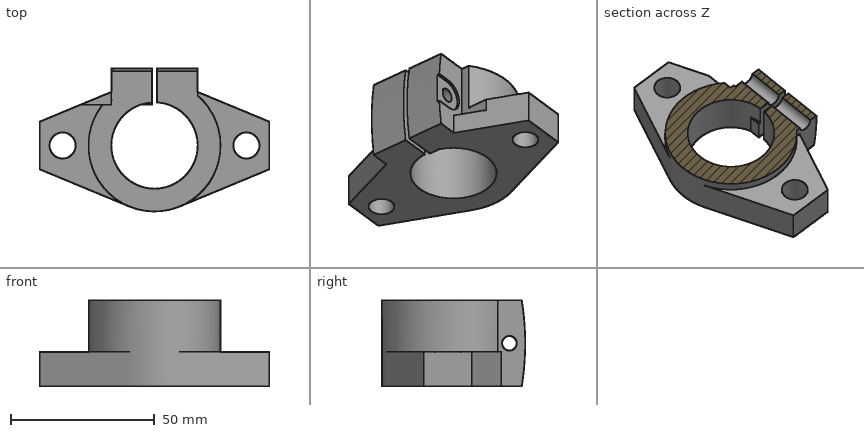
import cadquery as cq
import math

height = 30.0
bore_radius = 15.0
ring_radius = 23.0

flange_length = 80.0
flange_thickness = 12.0
flange_end_width = 16.65
mount_hole_diameter = 9.0
mount_hole_spacing = 64.0

ear_half_width = 15.0
ear_tip_y = 27.0
ear_end_crown = 1.2
slit_width = 1.6

screw_y = 21.45
screw_z = height / 2
screw_diameter = 5.0
seat_radius = 5.72
seat_depth = 0.8

relief_y = 14.2
relief_floor_z = 7.5


def box(x_min, x_max, y_min, y_max, z_min, z_max):
    size = (x_max - x_min, y_max - y_min, z_max - z_min)
    return cq.Workplane("XY").box(*size, centered=False).translate((x_min, y_min, z_min))


def make_flange():
    """Hexagon whose sloped sides are tangent to the ring, stopped at the tangent points."""
    end_x = flange_length / 2
    end_y = flange_end_width / 2
    corner_distance = math.hypot(end_x, end_y)
    tangent_angle = math.atan2(end_y, end_x) + math.acos(ring_radius / corner_distance)
    tangent_x = ring_radius * math.cos(tangent_angle)
    tangent_y = ring_radius * math.sin(tangent_angle)
    return (
        cq.Workplane("XY")
        .moveTo(end_x, -end_y)
        .lineTo(end_x, end_y)
        .lineTo(tangent_x, tangent_y)
        .lineTo(-tangent_x, tangent_y)
        .lineTo(-end_x, end_y)
        .lineTo(-end_x, -end_y)
        .lineTo(-tangent_x, -tangent_y)
        .lineTo(tangent_x, -tangent_y)
        .close()
        .extrude(flange_thickness)
    )


def make_ear():
    """Block from the ring centre to +Y; its end face is a shallow arc in the YZ plane."""
    edge_y = ear_tip_y - ear_end_crown
    return (
        cq.Workplane("YZ")
        .moveTo(0, 0)
        .lineTo(edge_y, 0)
        .threePointArc((ear_tip_y, height / 2), (edge_y, height))
        .lineTo(0, height)
        .close()
        .extrude(ear_half_width, both=True)
    )


def make_relief():
    """Clearance above the -X wing that gives access to the clamp screw."""
    return box(-flange_length / 2, -ear_half_width, relief_y, ear_tip_y, relief_floor_z, height)


def make_bore_lip():
    """Low flat-faced lip that closes the bore arc beside the slit on the -X side."""
    return box(-ear_half_width, 0, relief_y, ring_radius, 0, relief_floor_z)


def make_slit():
    return box(-slit_width / 2, slit_width / 2, 0, ear_tip_y, 0, height)


def make_mount_holes():
    half_spacing = mount_hole_spacing / 2
    return (
        cq.Workplane("XY")
        .pushPoints([(-half_spacing, 0), (half_spacing, 0)])
        .circle(mount_hole_diameter / 2)
        .extrude(flange_thickness)
    )


def make_screw_hole():
    return (
        cq.Workplane("YZ")
        .center(screw_y, screw_z)
        .circle(screw_diameter / 2)
        .extrude(ear_half_width, both=True)
    )


def make_screw_seat():
    """U-shaped pocket, round towards the ring and open at the ear end."""
    return (
        cq.Workplane("YZ", origin=(-ear_half_width, 0, 0))
        .moveTo(ear_tip_y, screw_z + seat_radius)
        .lineTo(screw_y, screw_z + seat_radius)
        .threePointArc((screw_y - seat_radius, screw_z), (screw_y, screw_z - seat_radius))
        .lineTo(ear_tip_y, screw_z - seat_radius)
        .close()
        .extrude(seat_depth)
    )


ring = cq.Workplane("XY").circle(ring_radius).extrude(height)
bore = cq.Workplane("XY").circle(bore_radius).extrude(height)

result = (
    ring.union(make_flange())
    .union(make_ear())
    .cut(make_relief())
    .cut(bore)
    .union(make_bore_lip())
    .cut(make_slit())
    .cut(make_mount_holes())
    .cut(make_screw_hole())
    .cut(make_screw_seat())
)